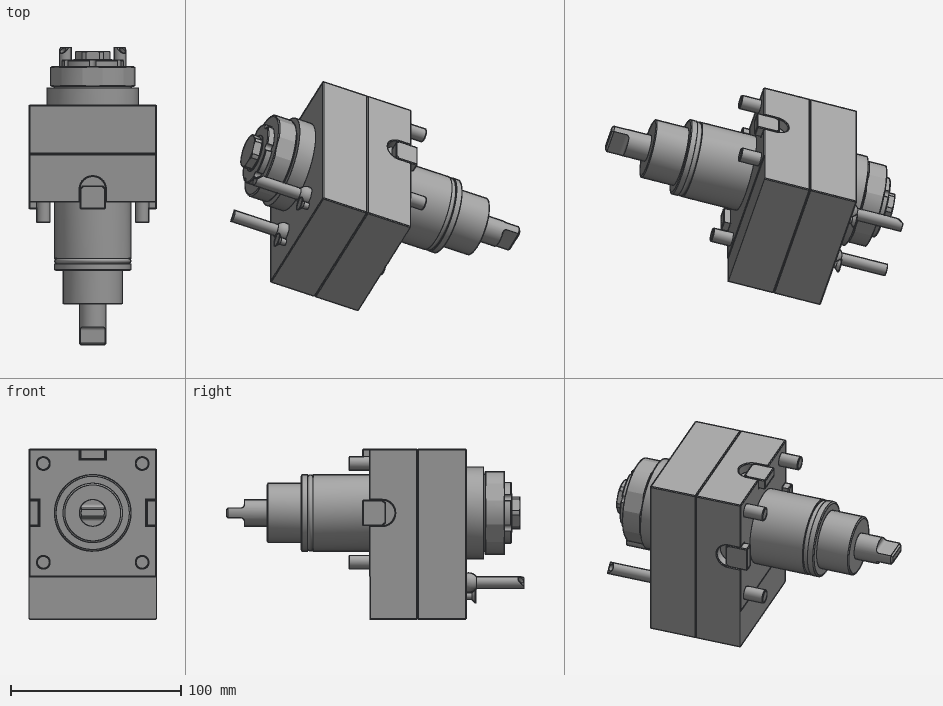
import cadquery as cq
import math


BLOCK_WIDTH = 75.0
BLOCK_HEIGHT = 100.0
BLOCK_TOP = BLOCK_WIDTH / 2
BLOCK_BOTTOM = BLOCK_TOP - BLOCK_HEIGHT
PARTING_Y = 28.3
REAR_Y = 57.0
EDGE_CHAMFER = 0.5
CHAMFER_ANGLE = 45
PAD_RISE = EDGE_CHAMFER

KEY_WIDTH = 15.0
KEY_THICKNESS = 6.0
KEY_EMBEDDED = 9.6
KEY_PROJECTION = 4.0
KEY_CORNER = 1.7
KEY_SLOT_LENGTH = 15.0
KEY_ANGLES = (-90, 0, 90)

SCREW_DIAMETER = 8.0
SCREW_PROJECTION = 12.0
SCREW_OFFSET = 29.0
SCREW_CHAMFER = 0.5

SHANK_DIAMETER = 45.0
SHANK_LENGTH = 40.0
PILOT_DIAMETER = 35.0
PILOT_END = 60.0
END_CHAMFER_LENGTH = 0.5
END_CHAMFER_RADIAL = 1.0
SEAL_CENTRE = 34.6
SEAL_WIDTH = 3.1
SEAL_DIAMETER = 44.7
TANG_DIAMETER = 15.7
TANG_SHOULDER = 73.4
TANG_END = 83.9
TANG_THICKNESS = 6.0
TANG_FILLET = 2.01
TANG_TIP_CHAMFER = 1.0

COLLAR_DIAMETER = 54.0
COLLAR_END = 67.0
NECK_DIAMETER = 45.5
NUT_START = 68.0
NUT_END = 79.5
NUT_DIAMETER = 50.0
NUT_ACROSS_FLATS = 48.5
NUT_CHAMFER_LENGTH = 0.5
NUT_CHAMFER_RADIAL = 1.0
RING_DIAMETER = 36.0
RING_END = 83.5
RING_CHAMFER = 0.5
NOTCH_DIAMETER = 4.0
NOTCH_COUNT = 6
WASHER_DIAMETER = 22.2
WASHER_END = 83.9
HEAD_DIAMETER = 20.5
HEAD_ACROSS_FLATS = 18.9
HEAD_END = 88.5
HEAD_CHAMFER = 0.5
FLAT_COUNT = 6

NOZZLE_X = 16.0
NOZZLE_Z = -40.9
TOTAL_LENGTH = 174.7
NOZZLE_END = TOTAL_LENGTH - TANG_END
PIPE_DIAMETER = 7.0
BALL_DIAMETER = 11.5
BALL_PROUD = 1.4
BALL_Y = REAR_Y + BALL_PROUD
BEVEL_RADIAL = 3.0
BEVEL_LENGTH = 3.7
JET_DIAMETER = 4.0
JET_DEPTH = 2.6
JET_AZIMUTH = 45
CLAMP_Z = -49.0
CLAMP_SHANK_DIAMETER = 4.0
CLAMP_HEAD_DIAMETER = 8.0
CLAMP_RISE = 5.6
CLAMP_TOP = REAR_Y + CLAMP_RISE
CLAMP_LIP = 0.3

AXIS_START = (0, 0, 0)
AXIS_END = (0, 1, 0)


def box(x_min, x_max, y_min, y_max, z_min, z_max):
    """Box between the given limits."""
    size = (x_max - x_min, y_max - y_min, z_max - z_min)
    return cq.Workplane("XY").box(*size, centered=False).translate((x_min, y_min, z_min))


def cylinder(diameter, y_start, y_end, x=0, z=0):
    """Cylinder parallel to the spindle axis."""
    solid = cq.Solid.makeCylinder(diameter / 2, y_end - y_start, cq.Vector(x, y_start, z), cq.Vector(0, 1, 0))
    return cq.Workplane(obj=solid)


def block_half(y_min, y_max):
    """Half of the block with all its edges chamfered."""
    half_width = BLOCK_WIDTH / 2
    blank = box(-half_width, half_width, y_min, y_max, BLOCK_BOTTOM, BLOCK_TOP)
    return blank.edges().chamfer(EDGE_CHAMFER)


def pad_step():
    """Cutter that sets the front face back below the mounting pad, up to the pad's chamfered lower edge."""
    pad_bottom = -BLOCK_TOP
    return (
        cq.Workplane("YZ")
        .moveTo(0, BLOCK_BOTTOM)
        .lineTo(PAD_RISE, BLOCK_BOTTOM)
        .lineTo(PAD_RISE, pad_bottom)
        .lineTo(0, pad_bottom + EDGE_CHAMFER)
        .close()
        .extrude(BLOCK_WIDTH / 2, both=True)
    )


def slot_outline(z, growth=0):
    """Round-ended outline of the top key slot at height z, reaching past the mounting face."""
    radius = KEY_WIDTH / 2 + growth
    end_y = KEY_SLOT_LENGTH + growth
    return (
        cq.Workplane("XY", origin=(0, 0, z))
        .moveTo(-radius, -KEY_PROJECTION)
        .lineTo(-radius, end_y - radius)
        .threePointArc((0, end_y), (radius, end_y - radius))
        .lineTo(radius, -KEY_PROJECTION)
        .close()
    )


def key_slot():
    """Cutter for the top key slot, with chamfered rims on the top and front faces."""
    slot = slot_outline(BLOCK_TOP - KEY_THICKNESS).extrude(KEY_THICKNESS)
    top_rim = slot_outline(BLOCK_TOP, EDGE_CHAMFER).extrude(-EDGE_CHAMFER, taper=CHAMFER_ANGLE)
    front_rim = (
        cq.Workplane("XZ", origin=(0, 0, BLOCK_TOP))
        .rect(KEY_WIDTH + 2 * EDGE_CHAMFER, 2 * (KEY_THICKNESS + EDGE_CHAMFER))
        .extrude(-EDGE_CHAMFER, taper=CHAMFER_ANGLE)
    )
    return slot.union(top_rim).union(front_rim)


def key():
    """Top key with chamfered outer and front edges."""
    half_width = KEY_WIDTH / 2
    blank = box(-half_width, half_width, -KEY_PROJECTION, KEY_EMBEDDED, BLOCK_TOP - KEY_THICKNESS, BLOCK_TOP)
    blank = blank.faces(">Y").edges("|Z").chamfer(KEY_CORNER)
    return blank.faces("<Y or >Z").edges().chamfer(EDGE_CHAMFER)


def shank_and_pilot():
    """Turned shank with a seal ring in its groove, and the pilot in front of it."""
    shank_radius = SHANK_DIAMETER / 2
    pilot_radius = PILOT_DIAMETER / 2
    seal_radius = SEAL_DIAMETER / 2
    groove_radius = seal_radius - SEAL_WIDTH / 2
    seal_start = SEAL_CENTRE - SEAL_WIDTH / 2
    seal_end = SEAL_CENTRE + SEAL_WIDTH / 2
    return (
        cq.Workplane("XY")
        .moveTo(0, PAD_RISE)
        .lineTo(shank_radius, PAD_RISE)
        .lineTo(shank_radius, -seal_start)
        .lineTo(groove_radius, -seal_start)
        .threePointArc((seal_radius, -SEAL_CENTRE), (groove_radius, -seal_end))
        .lineTo(shank_radius, -seal_end)
        .lineTo(shank_radius, -SHANK_LENGTH + END_CHAMFER_LENGTH)
        .lineTo(shank_radius - END_CHAMFER_RADIAL, -SHANK_LENGTH)
        .lineTo(pilot_radius, -SHANK_LENGTH)
        .lineTo(pilot_radius, -PILOT_END + END_CHAMFER_LENGTH)
        .lineTo(pilot_radius - END_CHAMFER_RADIAL, -PILOT_END)
        .lineTo(0, -PILOT_END)
        .close()
        .revolve(360, AXIS_START, AXIS_END)
    )


def tang():
    """Round drive shaft ending in a flat tongue with filleted shoulders."""
    shaft = cylinder(TANG_DIAMETER, -TANG_END, -PILOT_END).faces("<Y").chamfer(TANG_TIP_CHAMFER)
    half_thickness = TANG_THICKNESS / 2
    shaft_radius = TANG_DIAMETER / 2
    arc_inset = TANG_FILLET * (1 - math.sqrt(0.5))
    relief = (
        cq.Workplane("YZ")
        .moveTo(-TANG_END, half_thickness - TANG_TIP_CHAMFER)
        .lineTo(-TANG_END + TANG_TIP_CHAMFER, half_thickness)
        .lineTo(-TANG_SHOULDER - TANG_FILLET, half_thickness)
        .threePointArc(
            (-TANG_SHOULDER - arc_inset, half_thickness + arc_inset),
            (-TANG_SHOULDER, half_thickness + TANG_FILLET),
        )
        .lineTo(-TANG_SHOULDER, shaft_radius)
        .lineTo(-TANG_END, shaft_radius)
        .close()
        .extrude(shaft_radius, both=True)
    )
    return shaft.cut(relief).cut(relief.mirror("XY"))


def flat_sides(across_flats, y_start, y_end):
    """Hexagonal prism around the spindle axis with one flat facing +Z."""
    corner_diameter = across_flats / math.cos(math.pi / FLAT_COUNT)
    prism = cq.Workplane("XZ", origin=(0, y_end, 0)).polygon(FLAT_COUNT, corner_diameter)
    return prism.extrude(y_end - y_start)


def clamping_nut():
    """Round nut with six wrench flats, chamfered at both ends."""
    turned = cylinder(NUT_DIAMETER, NUT_START, NUT_END)
    turned = turned.faces("<Y or >Y").chamfer(NUT_CHAMFER_LENGTH, NUT_CHAMFER_RADIAL)
    return turned.intersect(flat_sides(NUT_ACROSS_FLATS, NUT_START, NUT_END))


def collet_head():
    """Small round head with six wrench flats, chamfered at its free end."""
    turned = cylinder(HEAD_DIAMETER, WASHER_END, HEAD_END).faces(">Y").chamfer(HEAD_CHAMFER)
    return turned.intersect(flat_sides(HEAD_ACROSS_FLATS, WASHER_END, HEAD_END))


def notched_ring():
    """Collet ring with round notches spaced around its rim."""
    ring = cylinder(RING_DIAMETER, NUT_END, RING_END).faces(">Y").chamfer(RING_CHAMFER)
    for i in range(NOTCH_COUNT):
        angle = math.radians(90 + i * 360 / NOTCH_COUNT)
        x = RING_DIAMETER / 2 * math.cos(angle)
        z = RING_DIAMETER / 2 * math.sin(angle)
        ring = ring.cut(cylinder(NOTCH_DIAMETER, NUT_END, RING_END, x, z))
    return ring


def clamp_screw(x):
    """Countersunk screw standing out of the rear face beside a nozzle ball."""
    shank_radius = CLAMP_SHANK_DIAMETER / 2
    head_radius = CLAMP_HEAD_DIAMETER / 2
    lip_y = CLAMP_TOP - CLAMP_LIP
    cone_start = lip_y - (head_radius - shank_radius)
    return (
        cq.Workplane("XY")
        .moveTo(0, REAR_Y - EDGE_CHAMFER)
        .lineTo(shank_radius, REAR_Y - EDGE_CHAMFER)
        .lineTo(shank_radius, cone_start)
        .lineTo(head_radius, lip_y)
        .lineTo(head_radius, CLAMP_TOP)
        .lineTo(0, CLAMP_TOP)
        .close()
        .revolve(360, AXIS_START, AXIS_END)
        .translate((x, 0, CLAMP_Z))
    )


def nozzle(side):
    """Ball-mounted coolant pipe, bevelled and drilled towards its upper outer side."""
    radius = PIPE_DIAMETER / 2
    pipe = cylinder(PIPE_DIAMETER, 0, NOZZLE_END - BALL_Y)
    bevel = (
        cq.Workplane("YZ")
        .moveTo(NOZZLE_END - BALL_Y, radius - BEVEL_RADIAL)
        .lineTo(NOZZLE_END - BALL_Y - BEVEL_LENGTH, radius)
        .lineTo(NOZZLE_END - BALL_Y, radius)
        .close()
        .extrude(radius, both=True)
    )
    jet_mouth = cq.Vector(0, NOZZLE_END - BALL_Y - BEVEL_LENGTH / 2, radius - BEVEL_RADIAL / 2)
    inward = cq.Vector(0, -BEVEL_RADIAL, -BEVEL_LENGTH)
    jet = cq.Solid.makeCylinder(JET_DIAMETER / 2, JET_DEPTH, jet_mouth, inward)
    body = pipe.cut(bevel).cut(cq.Workplane(obj=jet))
    body = body.union(cq.Workplane("XY").sphere(BALL_DIAMETER / 2))
    body = body.rotate(AXIS_START, AXIS_END, side * JET_AZIMUTH)
    return body.translate((side * NOZZLE_X, BALL_Y, NOZZLE_Z))


def front_housing():
    """Front block half with mounting pad, keys, screws, shank and drive tang."""
    body = block_half(0, PARTING_Y).cut(pad_step())
    for angle in KEY_ANGLES:
        body = body.cut(key_slot().rotate(AXIS_START, AXIS_END, angle))
        body = body.union(key().rotate(AXIS_START, AXIS_END, angle))
    for x in (-SCREW_OFFSET, SCREW_OFFSET):
        for z in (-SCREW_OFFSET, SCREW_OFFSET):
            screw = cylinder(SCREW_DIAMETER, -SCREW_PROJECTION, PAD_RISE, x, z)
            body = body.union(screw.faces("<Y").chamfer(SCREW_CHAMFER))
    return body.union(shank_and_pilot()).union(tang())


def rear_housing():
    """Rear block half with collar, clamping nut, collet parts and ball clamp screws."""
    body = block_half(PARTING_Y, REAR_Y)
    body = body.union(cylinder(COLLAR_DIAMETER, REAR_Y, COLLAR_END))
    body = body.union(cylinder(NECK_DIAMETER, COLLAR_END, NUT_START))
    body = body.union(clamping_nut())
    body = body.union(notched_ring())
    body = body.union(cylinder(WASHER_DIAMETER, RING_END, WASHER_END))
    body = body.union(collet_head())
    for side in (-1, 1):
        body = body.union(clamp_screw(side * NOZZLE_X))
    return body


nozzles = [nozzle(side) for side in (-1, 1)]
front = front_housing()
rear = rear_housing()
for coolant_nozzle in nozzles:
    rear = rear.cut(coolant_nozzle)

bodies = [front, rear, *nozzles]
result = cq.Compound.makeCompound([body.solids().val() for body in bodies])